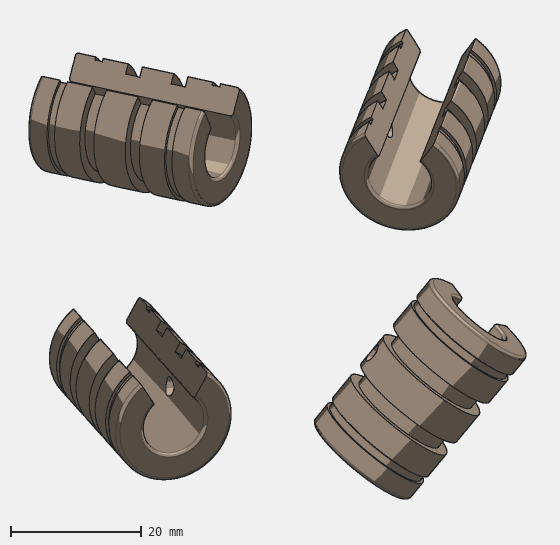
import cadquery as cq
import math

length = 29.0
outer_diameter = 19.0
bore_diameter = 10.0
edge_radius = 0.5

narrow_groove_width = 1.33
narrow_groove_depth = 0.5
narrow_groove_offset = 10.38
wide_groove_width = 2.5
wide_groove_depth = 1.62
wide_groove_offset = 4.03

opening_angle = 60.0
opening_apex_drop = 1.77

pin_hole_diameter = 3.0
pin_hole_drop = 0.87

outer_radius = outer_diameter / 2


def make_sleeve():
    """Full tube with rounded inner and outer end edges."""
    tube = (
        cq.Workplane("YZ")
        .circle(outer_radius)
        .circle(bore_diameter / 2)
        .extrude(length / 2, both=True)
    )
    return tube.faces("<X or >X").edges().fillet(edge_radius)


def make_groove(center_x, width, depth):
    """Ring of material removed by one outer groove."""
    return (
        cq.Workplane("YZ", origin=(center_x - width / 2, 0, 0))
        .circle(outer_diameter)
        .circle(outer_radius - depth)
        .extrude(width)
    )


def make_opening():
    """Triangular prism that opens the sleeve along its full length."""
    height = outer_diameter
    half_width = height * math.tan(math.radians(opening_angle / 2))
    return (
        cq.Workplane("YZ", origin=(0, 0, -opening_apex_drop))
        .polyline([(0, 0), (half_width, height), (-half_width, height)])
        .close()
        .extrude(length, both=True)
    )


def make_pin_hole():
    """Cylinder running from inside the bore out through the +Y wall."""
    return cq.Workplane("XZ", origin=(0, 0, -pin_hole_drop)).circle(pin_hole_diameter / 2).extrude(-outer_diameter)


result = make_sleeve()
for side in (-1, 1):
    result = result.cut(make_groove(side * narrow_groove_offset, narrow_groove_width, narrow_groove_depth))
    result = result.cut(make_groove(side * wide_groove_offset, wide_groove_width, wide_groove_depth))
result = result.cut(make_opening()).cut(make_pin_hole())